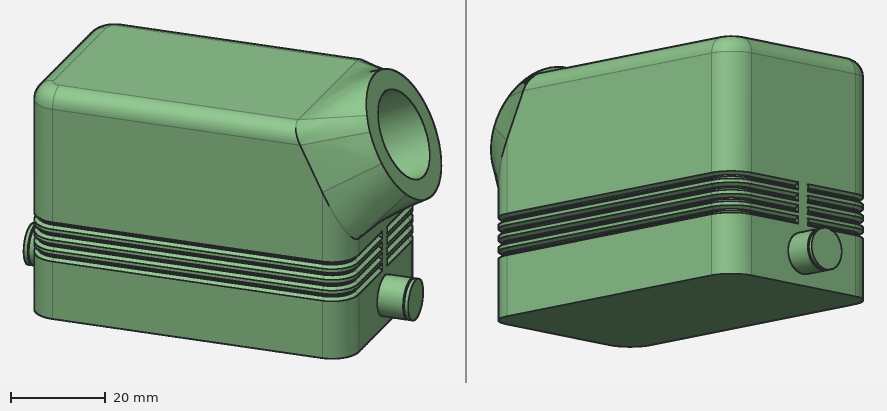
import cadquery as cq
import math

body_length = 72.9
body_width = 43.0
body_height = 52.0
corner_radius = 6.0
top_edge_radius = 4.0

pin_diameter = 9.0
pin_height = 7.0
pin_groove_setback = 0.9
pin_groove_width = 0.3
pin_groove_depth = 0.1
pin_span = 86.9
pin_left_end = 0.0
pin_length = (pin_span - body_length) / 2
body_left = pin_left_end + pin_length
body_right = body_left + body_length
body_centre_x = (body_left + body_right) / 2

groove_count = 4
groove_pitch = 2.45
groove_width = 1.6
groove_floor = 0.4
groove_depth = 0.9
lowest_groove_edge = 13.15
groove_gap = 2.9

spout_diameter = 29.0
bore_diameter = 20.0
spout_tilt = 26.5
slope_foot_height = 25.95
spout_length = 12.1
bore_depth = spout_length

axis_x = math.cos(math.radians(spout_tilt))
axis_z = math.sin(math.radians(spout_tilt))
axis = cq.Vector(axis_x, 0, axis_z)

slope_run = (body_height - slope_foot_height) * math.tan(math.radians(spout_tilt))
slope_centre = cq.Vector(
    body_right - slope_run / 2, 0, (body_height + slope_foot_height) / 2
)
spout_centre = slope_centre + axis * spout_length
mouth_plane = cq.Plane(spout_centre, xDir=(axis_z, 0, -axis_x), normal=axis)


def make_prism():
    """Upright block with rounded vertical corners."""
    return (
        cq.Workplane("XY")
        .center(body_centre_x, 0)
        .rect(body_length, body_width)
        .extrude(body_height)
        .edges("|Z").fillet(corner_radius)
    )


def make_body():
    """Block with a rounded top edge and its upper right end sliced off at a slope."""
    block = make_prism().faces(">Z").edges().fillet(top_edge_radius)
    slope_cutter = (
        cq.Workplane(cq.Plane(slope_centre, xDir=(0, 1, 0), normal=axis))
        .rect(2 * body_width, 2 * body_height)
        .extrude(body_length)
    )
    return block.cut(slope_cutter)


def make_spout(body):
    """Blend from the outline of the sloped face to a round mouth."""
    slope_face = body.faces(cq.selectors.DirectionMinMaxSelector(axis)).val()
    mouth = cq.Workplane(mouth_plane).circle(spout_diameter / 2).wires().val()
    return cq.Workplane(cq.Solid.makeLoft([slope_face.outerWire(), mouth], True))


def make_groove(lower_edge):
    """Ring of trapezoidal section, wide at the wall and narrow at the groove floor."""
    flank_height = (groove_width - groove_floor) / 2
    profile = (
        cq.Workplane("YZ", origin=(body_centre_x, -body_width / 2, lower_edge))
        .lineTo(groove_depth, flank_height)
        .lineTo(groove_depth, flank_height + groove_floor)
        .lineTo(0, groove_width)
        .close()
    )
    wall_outline = make_prism().faces("<Z").wires().val().translate(cq.Vector(0, 0, lower_edge))
    return profile.sweep(cq.Workplane(wall_outline), transition="right")


def make_grooves():
    """All grooves, interrupted by the plain strip on each end wall."""
    grooves = cq.Workplane("XY")
    for index in range(groove_count):
        grooves = grooves.add(make_groove(lowest_groove_edge + index * groove_pitch))
    plain_strip = (
        cq.Workplane("XY")
        .center(body_centre_x, 0)
        .rect(2 * body_length, groove_gap)
        .extrude(body_height)
    )
    return grooves.combine().cut(plain_strip)


def make_pin(outer_x, inward):
    """Round pin with a hairline groove cut just behind its outer end."""
    end_plane = cq.Workplane("YZ", origin=(outer_x, 0, pin_height))
    pin = end_plane.circle(pin_diameter / 2).extrude(inward * pin_length)
    ring = (
        end_plane.workplane(offset=inward * pin_groove_setback)
        .circle(pin_diameter / 2)
        .circle(pin_diameter / 2 - pin_groove_depth)
        .extrude(inward * pin_groove_width)
    )
    return pin.cut(ring)


def make_bore():
    """Round cable entry running from the mouth down to the slope."""
    return cq.Workplane(mouth_plane).circle(bore_diameter / 2).extrude(-bore_depth)


body = make_body()
spout = make_spout(body)
result = (
    body.cut(make_grooves())
    .union(spout)
    .union(make_pin(pin_left_end, 1))
    .union(make_pin(pin_left_end + pin_span, -1))
    .cut(make_bore())
)